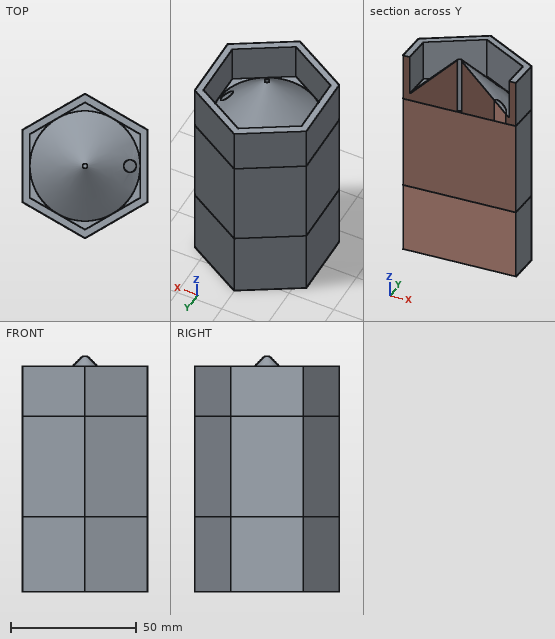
import cadquery as cq
import math

total_height = 94.0
across_flats = 50.0
wall = 3.0

base_height = 30.0
middle_height = 40.0
rim_height = 20.0

floor_thickness = 3.0
tip_hole_diameter = 2.0

plug_diameter = 5.0
plug_offset = 18.0

inner_flats = across_flats - 2 * wall
cone_radius = inner_flats / 2
middle_bottom = base_height
top_bottom = middle_bottom + middle_height
floor_top = top_bottom + floor_thickness
cone_height = total_height - floor_top


def hex_prism(flats, bottom, height):
    """Vertical hexagonal prism with two corners on the Y axis."""
    corner_diameter = flats / math.cos(math.pi / 6)
    prism = cq.Workplane("XY").polygon(6, corner_diameter).extrude(height)
    return prism.rotate((0, 0, 0), (0, 0, 1), 90).translate((0, 0, bottom))


def round_bar(diameter, x):
    """Vertical bar from the underside of the top section to the cone tip level."""
    bar = cq.Workplane("XY", origin=(x, 0, top_bottom))
    return bar.circle(diameter / 2).extrude(total_height - top_bottom)


def make_cone():
    """Truncated cone whose top edge is the rim of the tip hole."""
    cone = cq.Solid.makeCone(
        cone_radius, tip_hole_diameter / 2, cone_height, pnt=cq.Vector(0, 0, floor_top)
    )
    return cq.Workplane(obj=cone)


def make_solid_top():
    """Hexagonal tray with the cone on its floor, before any holes."""
    tray = hex_prism(across_flats, top_bottom, rim_height)
    tray = tray.cut(hex_prism(inner_flats, floor_top, rim_height))
    return tray.union(make_cone())


def make_top():
    """Top section with the tip hole and the plug hole through it."""
    top = make_solid_top().cut(round_bar(tip_hole_diameter, 0))
    return top.cut(round_bar(plug_diameter, plug_offset))


def make_plug():
    """Plug that fills its hole and follows the cone flank."""
    return round_bar(plug_diameter, plug_offset).intersect(make_solid_top())


base = hex_prism(across_flats, 0, base_height)
middle = hex_prism(across_flats, middle_bottom, middle_height)
top = make_top().solids()
plug = make_plug().solids()

result = cq.Compound.makeCompound([base.val(), middle.val(), top.val(), plug.val()])